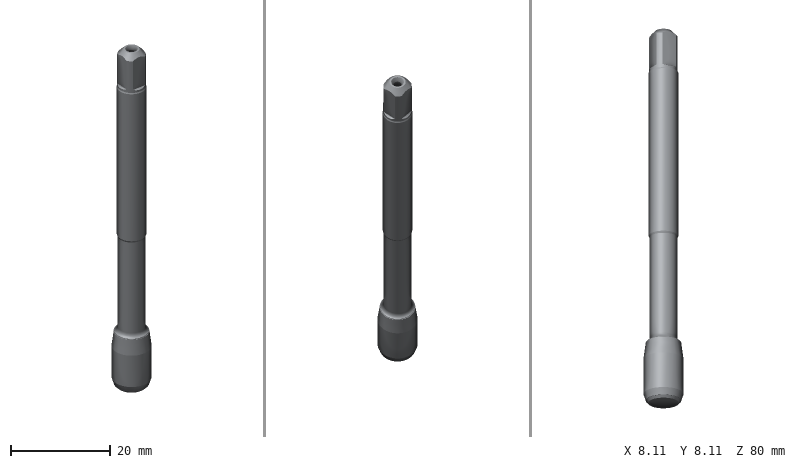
import cadquery as cq
import math

length = 80.0
square_across_flats = 4.9
square_corner_radius = 5.76 / 2
flat_count = 4
ramp_top_z = 71.95
ramp_bottom_z = 71.7
end_face_radius = 1.65

centre_hole_radius = 1.6 / 2
centre_hole_depth = 3.0
countersink_radius = 1.27
countersink_angle = 60.0
drill_point_angle = 120.0

shank_radius = 6.0 / 2
shank_top_z = 71.0
shank_top_chamfer_height = 0.25
shank_bottom_z = 36.0
neck_radius = 5.7 / 2
neck_top_z = 35.6
neck_bottom_z = 14.0

head_radius = 8.11 / 2
core_radius = 3.5
sleeve_end_radius = 3.6
core_tip_radius = 3.1
head_bottom_z = 0.5
head_lead_z = 1.93
head_taper_z = 9.4
head_top_z = 12.9
core_top_z = 13.05


def revolve_about_z(outline):
    """Turn a closed (radius, z) outline around the Z axis."""
    return cq.Workplane("XZ").polyline(outline).close().revolve(360, (0, 0), (0, 1))


def make_turned_blank():
    """Core, neck, shank and driving end before the flats and centre hole are cut."""
    end_chamfer = square_corner_radius - end_face_radius
    fillet_rise = neck_bottom_z - core_top_z
    fillet_run = core_radius - neck_radius
    fillet_radius = (fillet_rise**2 + fillet_run**2) / (2 * fillet_run)
    half_fillet_angle = math.asin(fillet_rise / fillet_radius) / 2
    fillet_middle = (
        neck_radius + fillet_radius * (1 - math.cos(half_fillet_angle)),
        neck_bottom_z - fillet_radius * math.sin(half_fillet_angle),
    )
    return (
        cq.Workplane("XZ")
        .lineTo(core_tip_radius, 0)
        .lineTo(core_radius, head_bottom_z)
        .lineTo(core_radius, core_top_z)
        .threePointArc(fillet_middle, (neck_radius, neck_bottom_z))
        .lineTo(neck_radius, neck_top_z)
        .lineTo(shank_radius, shank_bottom_z)
        .lineTo(shank_radius, shank_top_z)
        .lineTo(square_corner_radius, shank_top_z + shank_top_chamfer_height)
        .lineTo(square_corner_radius, length - end_chamfer)
        .lineTo(end_face_radius, length)
        .lineTo(0, length)
        .close()
        .revolve(360, (0, 0), (0, 1))
    )


def make_flats_cutters():
    """One cutter per flat of the driving square, each with a short ramp at its base."""
    flat_distance = square_across_flats / 2
    outer_x = 2 * square_corner_radius
    cutter = (
        cq.Workplane("XZ")
        .moveTo(flat_distance, length)
        .lineTo(flat_distance, ramp_top_z)
        .lineTo(square_corner_radius, ramp_bottom_z)
        .lineTo(outer_x, ramp_bottom_z)
        .lineTo(outer_x, length)
        .close()
        .extrude(square_corner_radius, both=True)
    )
    return [cutter.rotate((0, 0, 0), (0, 0, 1), 360 / flat_count * i) for i in range(flat_count)]


def make_centre_hole():
    """Countersunk blind hole with a conical drill point."""
    countersink_slope = math.tan(math.radians(countersink_angle / 2))
    countersink_depth = (countersink_radius - centre_hole_radius) / countersink_slope
    point_depth = centre_hole_radius / math.tan(math.radians(drill_point_angle / 2))
    hole_floor_z = length - centre_hole_depth
    return revolve_about_z([
        (0, length),
        (countersink_radius, length),
        (centre_hole_radius, length - countersink_depth),
        (centre_hole_radius, hole_floor_z),
        (0, hole_floor_z - point_depth),
    ])


def make_tool_body():
    body = make_turned_blank()
    for cutter in make_flats_cutters():
        body = body.cut(cutter)
    return body.cut(make_centre_hole())


def make_thread_sleeve():
    return revolve_about_z([
        (core_radius, head_bottom_z),
        (sleeve_end_radius, head_bottom_z),
        (head_radius, head_lead_z),
        (head_radius, head_taper_z),
        (sleeve_end_radius, head_top_z),
        (core_radius, head_top_z),
    ])


tool_body = make_tool_body()
thread_sleeve = make_thread_sleeve()

result = cq.Compound.makeCompound([tool_body.val(), thread_sleeve.val()])